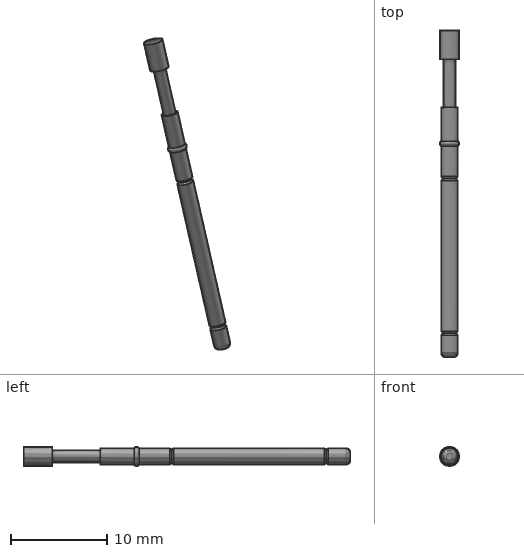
import cadquery as cq
import math

total_length = 34.0

head_diameter = 2.0
head_radius = head_diameter / 2
head_length = 3.0

plunger_radius = 0.65
plunger_length = 5.0

barrel_diameter = 1.75
barrel_radius = barrel_diameter / 2
barrel_start = head_length + plunger_length

ring_radius = head_radius
ring_width = 0.5
ring_center = 11.75

groove_centers = (15.4, 31.5)
groove_width = 0.45
groove_depth = 0.17

tail_round = 0.5


def add_press_ring(profile):
    """Run along the barrel to the ring, then over its crown."""
    half_width = ring_width / 2
    return (
        profile.lineTo(ring_center - half_width, barrel_radius)
        .threePointArc(
            (ring_center, ring_radius),
            (ring_center + half_width, barrel_radius),
        )
    )


def add_groove(profile, center):
    """Run along the barrel to a groove, then down one flank and up the other."""
    half_width = groove_width / 2
    return (
        profile.lineTo(center - half_width, barrel_radius)
        .lineTo(center, barrel_radius - groove_depth)
        .lineTo(center + half_width, barrel_radius)
    )


def add_tail(profile):
    """Run along the barrel to the tail, round its edge and close on the axis."""
    arc_start = total_length - tail_round
    arc_middle = tail_round * math.sqrt(0.5)
    flat_radius = barrel_radius - tail_round
    return (
        profile.lineTo(arc_start, barrel_radius)
        .threePointArc(
            (arc_start + arc_middle, flat_radius + arc_middle),
            (total_length, flat_radius),
        )
        .lineTo(total_length, 0)
        .close()
    )


section_plane = cq.Plane(
    origin=(0, total_length / 2, 0),
    xDir=(0, -1, 0),
    normal=(-1, 0, 0),
)

profile = (
    cq.Workplane(section_plane)
    .moveTo(0, 0)
    .lineTo(0, head_radius)
    .lineTo(head_length, head_radius)
    .lineTo(head_length, plunger_radius)
    .lineTo(barrel_start, plunger_radius)
    .lineTo(barrel_start, barrel_radius)
)

profile = add_press_ring(profile)
for groove_center in groove_centers:
    profile = add_groove(profile, groove_center)
profile = add_tail(profile)

result = profile.revolve(360, (0, 0, 0), (1, 0, 0))